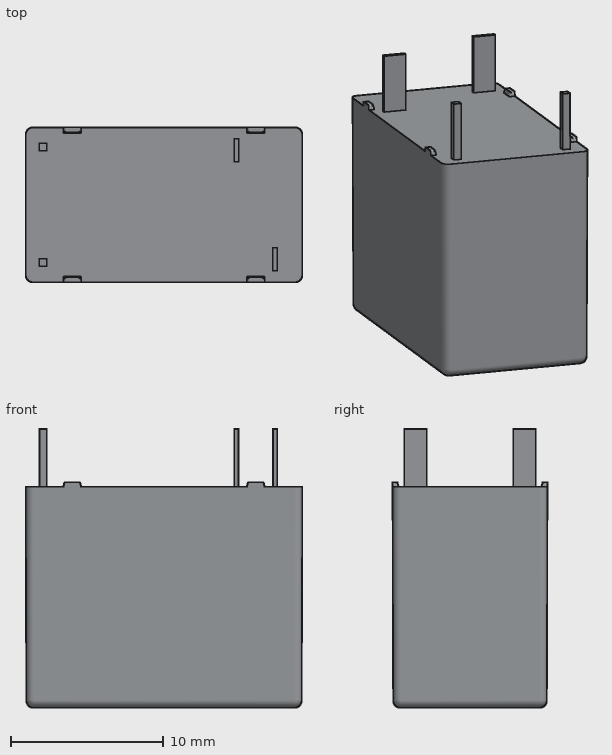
import cadquery as cq
import math

CASE_LENGTH = 18.2
CASE_WIDTH = 10.2
CASE_HEIGHT = 14.55
CASE_DRAFT = 0.17
CORNER_RADIUS = 0.5
BOTTOM_RADIUS = 0.5

PIN_LENGTH = 3.8
PIN_PITCH = 2.54
SQUARE_PIN_SIZE = 0.5
SQUARE_PIN_X = -7.94
SQUARE_PIN_Y = 3.8
BLADE_THICKNESS = 0.3
BLADE_WIDTH = 1.5
BLADE_Y = 3.58
INNER_BLADE_X = SQUARE_PIN_X + 5 * PIN_PITCH
OUTER_BLADE_X = SQUARE_PIN_X + 6 * PIN_PITCH

STANDOFF_X = 6.03
STANDOFF_LENGTH = 1.18
STANDOFF_DEPTH = 0.41
STANDOFF_HEIGHT = 0.3
STANDOFF_DRAFT = 15
STANDOFF_RADIUS = 0.13


def make_envelope():
    """Rounded and drafted block that holds the case and, above Z = 0, the standoffs."""
    top_growth = 2 * STANDOFF_HEIGHT * math.tan(math.radians(CASE_DRAFT))
    block = (
        cq.Workplane("XY")
        .workplane(offset=STANDOFF_HEIGHT)
        .rect(CASE_LENGTH + top_growth, CASE_WIDTH + top_growth)
        .extrude(-(CASE_HEIGHT + STANDOFF_HEIGHT), taper=CASE_DRAFT)
    )
    block = block.edges("not (<Z or >Z)").fillet(CORNER_RADIUS)
    return block.faces("<Z").edges().fillet(BOTTOM_RADIUS)


def make_case(envelope):
    """Part of the envelope below its flat top face at Z = 0."""
    above_case = cq.Workplane("XY").rect(2 * CASE_LENGTH, 2 * CASE_WIDTH).extrude(STANDOFF_HEIGHT)
    return envelope.cut(above_case)


def make_pin(x, y, size_x, size_y):
    """Straight rectangular pin standing on the top face."""
    return cq.Workplane("XY").center(x, y).rect(size_x, size_y).extrude(PIN_LENGTH)


def make_standoff(x, side, envelope):
    """Foot continuing the case wall upwards on the given side (+1 or -1) of Y."""
    wall_y = side * CASE_WIDTH / 2
    foot = (
        cq.Workplane("XY")
        .center(x, wall_y)
        .rect(STANDOFF_LENGTH, 2 * STANDOFF_DEPTH)
        .extrude(STANDOFF_HEIGHT, taper=STANDOFF_DRAFT)
        .edges("not (<Z or |X)")
        .fillet(STANDOFF_RADIUS)
    )
    return foot.intersect(envelope)


envelope = make_envelope()
result = make_case(envelope)

for side in (-1, 1):
    result = result.union(make_pin(SQUARE_PIN_X, side * SQUARE_PIN_Y, SQUARE_PIN_SIZE, SQUARE_PIN_SIZE))
    for x in (-STANDOFF_X, STANDOFF_X):
        result = result.union(make_standoff(x, side, envelope))

result = result.union(make_pin(INNER_BLADE_X, BLADE_Y, BLADE_THICKNESS, BLADE_WIDTH))
result = result.union(make_pin(OUTER_BLADE_X, -BLADE_Y, BLADE_THICKNESS, BLADE_WIDTH))